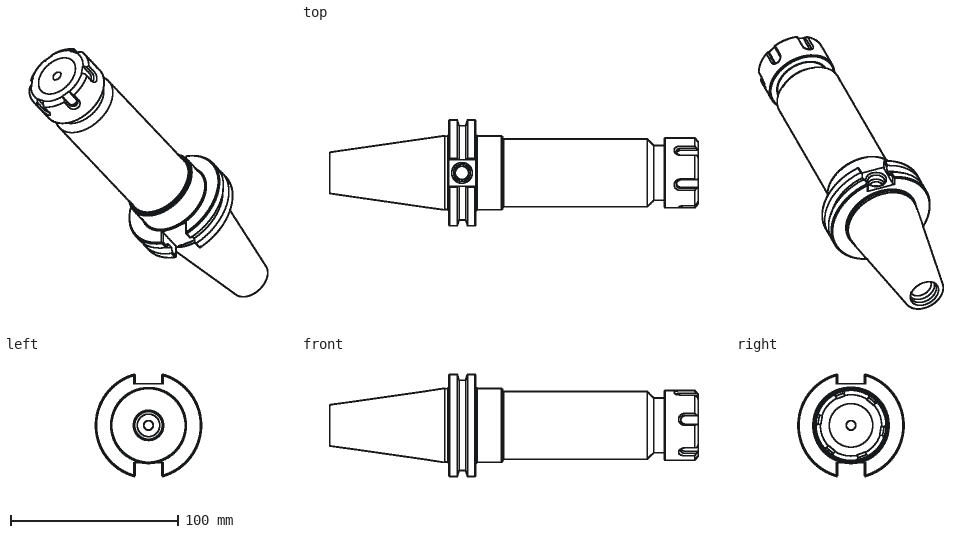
import cadquery as cq
import math

TAPER_END = 68.2
TAPER_LAND_END = 68.8
FLANGE_START = 71.3
FLANGE_END = 87.5
COLLAR_END = 103.5
SHAFT_END = 190.0
CONE_END = 194.0
NUT_START = 200.1
NUT_END = 220.7

TAPER_SMALL_DIA = 24.7
TAPER_LARGE_DIA = 44.4
TAPER_TIP_FILLET = 1.0
RELIEF_DIA = 44.0
FLANGE_DIA = 63.5
FLANGE_CHAMFER = 0.7
COLLAR_DIA = 44.4
COLLAR_CHAMFER = 0.7
CORNER_CONE = 0.7
SHAFT_DIA = 40.5
NECK_DIA = 32.9
NOSE_DIA = 32.0
NOSE_END = 211.8

GROOVE_CENTRE = 79.5
GROOVE_DIA = 56.5
GROOVE_FLOOR_WIDTH = 4.0
GROOVE_MOUTH_WIDTH = 6.2

SLOT_WIDTH = 15.9
SLOT_CHAMFER = 0.9
UPPER_SLOT_HEIGHT = 25.0
LOWER_SLOT_HEIGHT = 22.3

SETTING_HOLE_X = 79.2
SETTING_HOLE_DIA = 10.2
SETTING_HOLE_MOUTH_DIA = 12.4
SETTING_HOLE_DEPTH = 4.5
SETTING_DRILL_DIA = 8.0
SETTING_DRILL_DEPTH = 8.8
DRILL_POINT_HALF_ANGLE = 59

KNOB_MOUTH_DIA = 18.0
KNOB_MOUTH_DEPTH = 1.8
KNOB_PILOT_DIA = 16.5
KNOB_PILOT_DEPTH = 4.6
KNOB_BORE_DIA = 13.5
KNOB_BORE_DEPTH = 31.0
KNOB_STEP_END = KNOB_PILOT_DEPTH + (KNOB_PILOT_DIA - KNOB_BORE_DIA) / 2
THROUGH_DIA = 5.5

COLLET_DIA = 26.0
COLLET_START = 187.5
COLLET_HALF_ANGLE = 8
COLLET_TIP_DIA = COLLET_DIA - 2 * (NOSE_END - COLLET_START) * math.tan(math.radians(COLLET_HALF_ANGLE))

NUT_DIA = 42.0
NUT_BACK_CHAMFER = 0.7
NUT_FACE_DIA = 36.6
NUT_FRONT_CONE_LENGTH = 2.2
WRENCH_SLOT_COUNT = 6
WRENCH_SLOT_START_ANGLE = 10
WRENCH_SLOT_WIDTH = 5.3
WRENCH_SLOT_CHAMFER = 1.3
WRENCH_SLOT_ARC_X = 212.7
LONG_SLOT_ARC_X = 210.0
LONG_SLOTS = (1, 2)
WRENCH_SLOT_FLOOR = 17.9


def revolve_about_x(points):
    """Solid of revolution about X from (position, diameter) points."""
    profile = [(x, diameter / 2) for x, diameter in points]
    return cq.Workplane("XY").polyline(profile).close().revolve(360, (0, 0, 0), (1, 0, 0))


def holder_blank():
    groove_floor = GROOVE_FLOOR_WIDTH / 2
    groove_mouth = GROOVE_MOUTH_WIDTH / 2
    flange_edge_dia = FLANGE_DIA - 2 * FLANGE_CHAMFER
    blank = revolve_about_x([
        (0, 0),
        (0, TAPER_SMALL_DIA),
        (TAPER_END, TAPER_LARGE_DIA),
        (TAPER_LAND_END, TAPER_LARGE_DIA),
        (TAPER_LAND_END, RELIEF_DIA),
        (FLANGE_START - CORNER_CONE, RELIEF_DIA),
        (FLANGE_START, RELIEF_DIA + 2 * CORNER_CONE),
        (FLANGE_START, flange_edge_dia),
        (FLANGE_START + FLANGE_CHAMFER, FLANGE_DIA),
        (GROOVE_CENTRE - groove_mouth, FLANGE_DIA),
        (GROOVE_CENTRE - groove_floor, GROOVE_DIA),
        (GROOVE_CENTRE + groove_floor, GROOVE_DIA),
        (GROOVE_CENTRE + groove_mouth, FLANGE_DIA),
        (FLANGE_END - FLANGE_CHAMFER, FLANGE_DIA),
        (FLANGE_END, flange_edge_dia),
        (FLANGE_END, COLLAR_DIA + 2 * CORNER_CONE),
        (FLANGE_END + CORNER_CONE, COLLAR_DIA),
        (COLLAR_END - COLLAR_CHAMFER, COLLAR_DIA),
        (COLLAR_END, COLLAR_DIA - 2 * COLLAR_CHAMFER),
        (COLLAR_END, SHAFT_DIA + 2 * CORNER_CONE),
        (COLLAR_END + CORNER_CONE, SHAFT_DIA),
        (SHAFT_END, SHAFT_DIA),
        (CONE_END, NECK_DIA),
        (NUT_START, NECK_DIA),
        (NUT_START, NOSE_DIA),
        (NOSE_END, NOSE_DIA),
        (NOSE_END, 0),
    ])
    return blank.faces("<X").edges().fillet(TAPER_TIP_FILLET)


def drive_slot(floor_height):
    """Cutter for one slot above the axis, flared at its ends and along its mouth to chamfer the walls."""
    half_width = SLOT_WIDTH / 2
    flared = half_width + SLOT_CHAMFER
    top = FLANGE_DIA / 2
    rim_height = math.sqrt(top ** 2 - half_width ** 2)
    flare_start = rim_height - SLOT_CHAMFER
    mouth_half_width = half_width + top - flare_start
    channel = (
        cq.Workplane("YZ", origin=(FLANGE_START, 0, 0))
        .polyline([
            (-half_width, floor_height),
            (half_width, floor_height),
            (half_width, flare_start),
            (mouth_half_width, top),
            (-mouth_half_width, top),
            (-half_width, flare_start),
        ])
        .close()
        .extrude(FLANGE_END - FLANGE_START)
    )
    flared_ends = (
        cq.Workplane("XY", origin=(0, 0, floor_height))
        .polyline([
            (FLANGE_START, -flared),
            (FLANGE_START + SLOT_CHAMFER, -half_width),
            (FLANGE_END - SLOT_CHAMFER, -half_width),
            (FLANGE_END, -flared),
            (FLANGE_END, flared),
            (FLANGE_END - SLOT_CHAMFER, half_width),
            (FLANGE_START + SLOT_CHAMFER, half_width),
            (FLANGE_START, flared),
        ])
        .close()
        .extrude(top - floor_height)
    )
    return channel.union(flared_ends)


def setting_hole():
    radius = SETTING_HOLE_DIA / 2
    mouth_radius = SETTING_HOLE_MOUTH_DIA / 2
    drill_radius = SETTING_DRILL_DIA / 2
    step = UPPER_SLOT_HEIGHT - SETTING_HOLE_DEPTH
    bottom = UPPER_SLOT_HEIGHT - SETTING_DRILL_DEPTH
    point = bottom - drill_radius / math.tan(math.radians(DRILL_POINT_HALF_ANGLE))
    return (
        cq.Workplane("XZ")
        .polyline([
            (0, point),
            (drill_radius, bottom),
            (drill_radius, step - (radius - drill_radius)),
            (radius, step),
            (radius, UPPER_SLOT_HEIGHT - (mouth_radius - radius)),
            (mouth_radius, UPPER_SLOT_HEIGHT),
            (0, UPPER_SLOT_HEIGHT),
        ])
        .close()
        .revolve(360, (0, 0, 0), (0, 1, 0))
        .translate((SETTING_HOLE_X, 0, 0))
    )


def holder_bore():
    """Knob bore, through hole and collet seat."""
    return revolve_about_x([
        (0, 0),
        (0, KNOB_MOUTH_DIA),
        (KNOB_MOUTH_DEPTH, KNOB_PILOT_DIA),
        (KNOB_PILOT_DEPTH, KNOB_PILOT_DIA),
        (KNOB_STEP_END, KNOB_BORE_DIA),
        (KNOB_BORE_DEPTH, KNOB_BORE_DIA),
        (KNOB_BORE_DEPTH, THROUGH_DIA),
        (COLLET_START, THROUGH_DIA),
        (COLLET_START, COLLET_TIP_DIA),
        (NOSE_END, COLLET_DIA),
        (NOSE_END, 0),
    ])


def make_holder():
    holder = holder_blank().cut(holder_bore())
    holder = holder.cut(drive_slot(UPPER_SLOT_HEIGHT))
    holder = holder.cut(drive_slot(LOWER_SLOT_HEIGHT).rotate((0, 0, 0), (1, 0, 0), 180))
    return holder.cut(setting_hole())


def make_collet():
    return revolve_about_x([
        (COLLET_START, THROUGH_DIA),
        (COLLET_START, COLLET_TIP_DIA),
        (NOSE_END, COLLET_DIA),
        (NUT_END, COLLET_DIA),
        (NUT_END, THROUGH_DIA),
    ])


def slot_outline(arc_x, height, width):
    """Round-ended slot outline at a height above the axis, running out past the nut face."""
    radius = width / 2
    run_out = NUT_END + NUT_FRONT_CONE_LENGTH
    return (
        cq.Workplane("XY", origin=(0, 0, height))
        .moveTo(run_out, -radius)
        .lineTo(arc_x, -radius)
        .threePointArc((arc_x - radius, 0), (arc_x, radius))
        .lineTo(run_out, radius)
        .close()
    )


def wrench_slot(arc_x):
    """Cutter for one slot with a chamfered mouth, facing up."""
    mouth_floor = NUT_DIA / 2 - WRENCH_SLOT_CHAMFER
    slot = slot_outline(arc_x, WRENCH_SLOT_FLOOR, WRENCH_SLOT_WIDTH).extrude(NUT_DIA / 2 - WRENCH_SLOT_FLOOR)
    mouth = slot_outline(arc_x, mouth_floor, WRENCH_SLOT_WIDTH).extrude(WRENCH_SLOT_CHAMFER, taper=-45)
    return slot.union(mouth)


def make_nut():
    nut = revolve_about_x([
        (NUT_START, NOSE_DIA),
        (NUT_START, NUT_DIA - 2 * NUT_BACK_CHAMFER),
        (NUT_START + NUT_BACK_CHAMFER, NUT_DIA),
        (NUT_END - NUT_FRONT_CONE_LENGTH, NUT_DIA),
        (NUT_END, NUT_FACE_DIA),
        (NUT_END, COLLET_DIA),
        (NOSE_END, COLLET_DIA),
        (NOSE_END, NOSE_DIA),
    ])
    for index in range(WRENCH_SLOT_COUNT):
        angle = WRENCH_SLOT_START_ANGLE + index * 360 / WRENCH_SLOT_COUNT
        slot = wrench_slot(LONG_SLOT_ARC_X if index in LONG_SLOTS else WRENCH_SLOT_ARC_X)
        nut = nut.cut(slot.rotate((0, 0, 0), (1, 0, 0), 90 - angle))
    return nut


holder = make_holder()
collet = make_collet()
nut = make_nut()

result = cq.Compound.makeCompound([holder.val(), collet.val(), nut.val()])